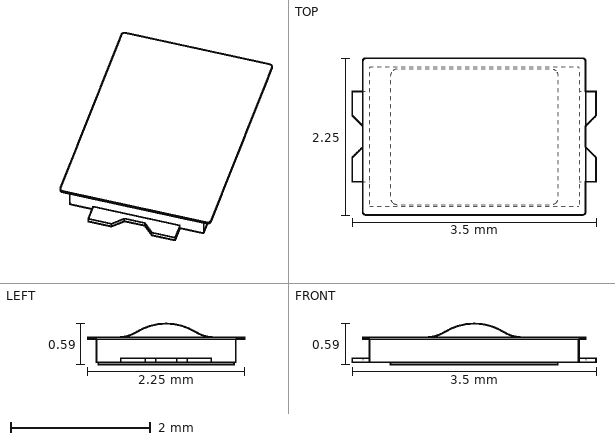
import cadquery as cq
import math

total_height = 0.59
dome_height = 0.195
pad_thickness = 0.035
cover_thickness = 0.028
terminal_thickness = 0.06
cover_top = total_height - dome_height
cover_bottom = cover_top - cover_thickness
body_height = cover_bottom - pad_thickness

cover_length = 3.2
cover_width = 2.25
cover_corner_radius = 0.05

body_length = 3.005
body_width = 2.002
body_corner_radius = 0.05
body_corner_reach = 0.028

pad_length = 2.4
pad_width = 1.95
pad_corner_radius = 0.1

overall_length = 3.5
terminal_width = 1.3
notch_mouth_width = 0.605
notch_floor_width = 0.305
notch_depth = (notch_mouth_width - notch_floor_width) / 2

cap_radius = 0.8
blend_radius = 0.5


def rounded_plate(length, width, thickness, corner_radius, bottom):
    """Flat plate centred on the Z axis, with rounded vertical corners."""
    plate = cq.Workplane("XY").workplane(offset=bottom).rect(length, width).extrude(thickness)
    return plate.edges("|Z").fillet(corner_radius)


def make_body():
    """Rounded box trimmed at both sides, so that only part of each corner arc remains."""
    trimmed_off = body_corner_radius - body_corner_reach
    untrimmed_width = body_width + 2 * trimmed_off
    body = rounded_plate(body_length, untrimmed_width, body_height, body_corner_radius, pad_thickness)
    envelope = cq.Workplane("XY").box(body_length, body_width, 2 * total_height)
    return body.intersect(envelope)


def make_terminals():
    """Strip through the body whose two ends are forked by a tapered notch."""
    end_x = overall_length / 2
    strip = (
        cq.Workplane("XY")
        .workplane(offset=pad_thickness)
        .rect(overall_length, terminal_width)
        .extrude(terminal_thickness)
    )
    for side in (-1, 1):
        notch = (
            cq.Workplane("XY")
            .workplane(offset=pad_thickness)
            .moveTo(side * end_x, -notch_mouth_width / 2)
            .lineTo(side * (end_x - notch_depth), -notch_floor_width / 2)
            .lineTo(side * (end_x - notch_depth), notch_floor_width / 2)
            .lineTo(side * end_x, notch_mouth_width / 2)
            .close()
            .extrude(terminal_thickness)
        )
        strip = strip.cut(notch)
    return strip


def make_dome():
    """Revolved profile: convex cap, tangent concave blend, and a root sunk into the cover."""
    slope = math.acos(1 - dome_height / (cap_radius + blend_radius))
    cap_centre_z = total_height - cap_radius
    blend_centre_r = (cap_radius + blend_radius) * math.sin(slope)
    blend_centre_z = cover_top + blend_radius

    def on_cap(angle):
        return cap_radius * math.sin(angle), cap_centre_z + cap_radius * math.cos(angle)

    def on_blend(angle):
        return (
            blend_centre_r - blend_radius * math.sin(angle),
            blend_centre_z - blend_radius * math.cos(angle),
        )

    return (
        cq.Workplane("XZ")
        .moveTo(*on_cap(0))
        .threePointArc(on_cap(slope / 2), on_cap(slope))
        .threePointArc(on_blend(slope / 2), on_blend(0))
        .lineTo(blend_centre_r, cover_bottom)
        .lineTo(0, cover_bottom)
        .close()
        .revolve(360, (0, 0, 0), (0, 1, 0))
    )


pad = rounded_plate(pad_length, pad_width, pad_thickness, pad_corner_radius, 0)
cover = rounded_plate(cover_length, cover_width, cover_thickness, cover_corner_radius, cover_bottom)

result = pad.union(make_body()).union(make_terminals()).union(cover).union(make_dome())